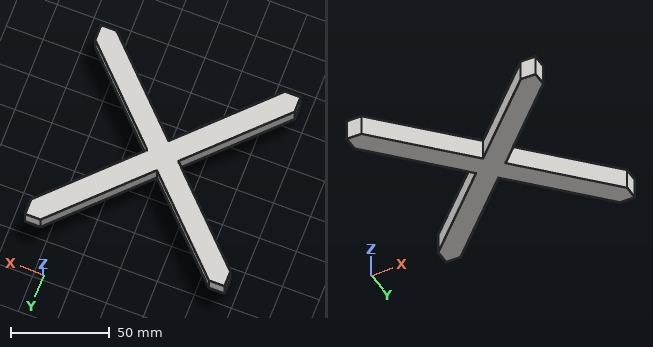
import cadquery as cq

side = 108.0
bar_size = 12.0

stock_length = 2 * side


def diagonal_bar(angle):
    """Square bar through the centre, turned by angle degrees about Z."""
    stock = cq.Workplane("XY").box(stock_length, bar_size, bar_size)
    return stock.rotate((0, 0, 0), (0, 0, 1), angle)


cross = diagonal_bar(45).union(diagonal_bar(-45))

outline = cq.Workplane("XY").box(side, side, bar_size)
result = cross.intersect(outline)